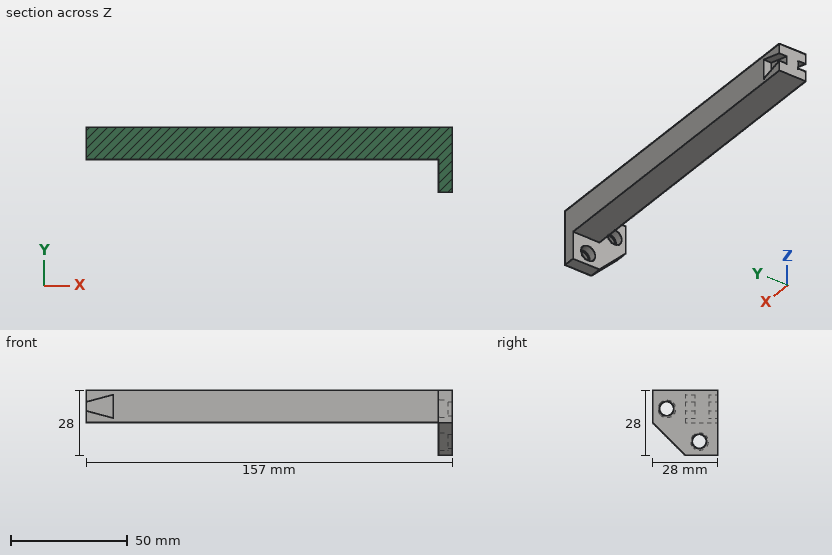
import cadquery as cq
import math

total_length = 157.0
bar_side = 14.0

plate_side = 2 * bar_side
plate_thickness = 6.0

hole_diameter = 6.0
counterbore_diameter = 7.5
counterbore_depth = 4.0
hole_from_bar_edge = 8.0
hole_from_plate_edge = 6.0

pocket_back = 10.0
pocket_depth = 4.0
pocket_length = 11.5
pocket_flank_angle = 15.0
pocket_mouth = pocket_back - 2 * pocket_length * math.tan(math.radians(pocket_flank_angle))

plate_front = total_length - plate_thickness


def make_bar():
    bar = cq.Workplane("XY").box(total_length, bar_side, bar_side, centered=False)
    return bar.translate((0, -bar_side, -bar_side))


def make_plate():
    outline = [
        (0, 0),
        (-plate_side, 0),
        (-plate_side, -bar_side),
        (-bar_side, -plate_side),
        (0, -plate_side),
    ]
    plane = cq.Workplane("YZ", origin=(plate_front, 0, 0))
    return plane.polyline(outline).close().extrude(plate_thickness)


def make_screw_hole(y, z):
    """Through bore with a counterbore on the plate face toward the bar."""
    face = cq.Workplane("YZ", origin=(plate_front, y, z))
    bore = face.circle(hole_diameter / 2).extrude(plate_thickness)
    counterbore = face.circle(counterbore_diameter / 2).extrude(counterbore_depth)
    return bore.union(counterbore)


def make_dovetail_pocket(y_start):
    """Pocket widening away from the free end, spanning pocket_depth toward +Y from y_start."""
    outline = [
        (0, -pocket_mouth / 2),
        (pocket_length, -pocket_back / 2),
        (pocket_length, pocket_back / 2),
        (0, pocket_mouth / 2),
    ]
    plane = cq.Workplane("XZ", origin=(0, y_start, -bar_side / 2))
    return plane.polyline(outline).close().extrude(-pocket_depth)


result = make_bar().union(make_plate())

far_offset = hole_from_plate_edge - plate_side
for hole_y, hole_z in [(far_offset, -hole_from_bar_edge), (-hole_from_bar_edge, far_offset)]:
    result = result.cut(make_screw_hole(hole_y, hole_z))

for pocket_y in (-bar_side, -pocket_depth):
    result = result.cut(make_dovetail_pocket(pocket_y))